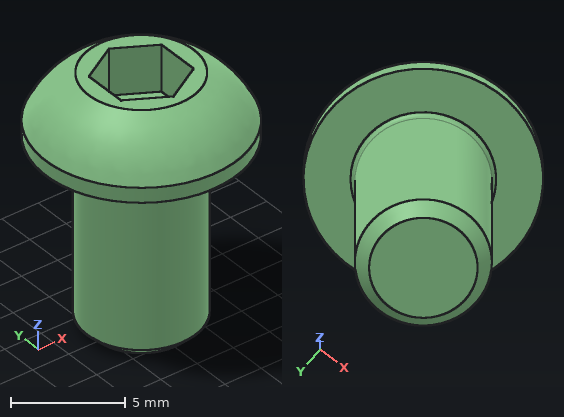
import cadquery as cq
import math

total_height = 13.3
head_diameter = 10.5
head_height = 3.3
rim_height = 0.8
crown_flat_radius = 2.89
dome_radius = 5.59
shank_diameter = 6.0
neck_flare = 0.19
neck_height = 0.25
neck_arc_radius = 0.27
tip_chamfer_width = 0.63
tip_chamfer_height = 0.6
socket_across_flats = 4.0
socket_depth = 2.5

head_radius = head_diameter / 2
shank_radius = shank_diameter / 2
neck_radius = shank_radius + neck_flare
tip_radius = shank_radius - tip_chamfer_width
head_bottom = total_height - head_height
rim_top = head_bottom + rim_height


def arc_middle(start, end, radius):
    """Middle point of the minor arc lying to the right of start -> end."""
    dx = end[0] - start[0]
    dz = end[1] - start[1]
    chord = math.hypot(dx, dz)
    bulge = radius - math.sqrt(radius**2 - (chord / 2) ** 2)
    middle_x = (start[0] + end[0]) / 2 + bulge * dz / chord
    middle_z = (start[1] + end[1]) / 2 - bulge * dx / chord
    return (middle_x, middle_z)


def screw_body():
    """Revolve the half profile of the shank, flared neck, rim and dome."""
    neck_start = (shank_radius, head_bottom - neck_height)
    neck_end = (neck_radius, head_bottom)
    dome_start = (head_radius, rim_top)
    dome_end = (crown_flat_radius, total_height)
    return (
        cq.Workplane("XZ")
        .lineTo(tip_radius, 0)
        .lineTo(shank_radius, tip_chamfer_height)
        .lineTo(*neck_start)
        .threePointArc(arc_middle(neck_end, neck_start, neck_arc_radius), neck_end)
        .lineTo(head_radius, head_bottom)
        .lineTo(*dome_start)
        .threePointArc(arc_middle(dome_start, dome_end, dome_radius), dome_end)
        .lineTo(0, total_height)
        .close()
        .revolve(360, (0, 0), (0, 1))
    )


def hex_socket():
    """Flat-bottomed hexagonal recess with corners pointing along Y."""
    across_corners = socket_across_flats / math.cos(math.pi / 6)
    return (
        cq.Workplane("XY", origin=(0, 0, total_height - socket_depth))
        .transformed(rotate=(0, 0, 90))
        .polygon(6, across_corners)
        .extrude(socket_depth)
    )


result = screw_body().cut(hex_socket())